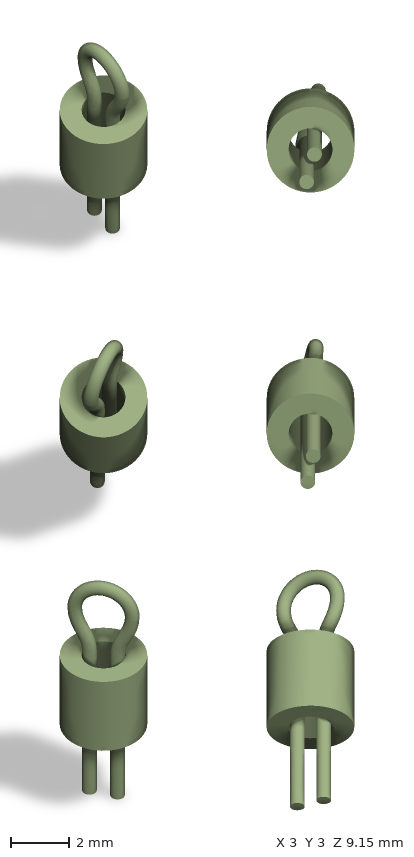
import cadquery as cq

overall_height = 9.15
sleeve_diameter = 3.0
sleeve_height = 3.0
bore_diameter = 1.5
wire_diameter = 0.5
lead_length = 3.0
lead_rise = 0.055
loop_outer_radius = 1.27

wire_radius = wire_diameter / 2
lead_offset = bore_diameter / 2 - wire_radius
bend_start = lead_length + sleeve_height + lead_rise
loop_radius = loop_outer_radius - wire_radius
loop_center = overall_height - loop_outer_radius


def make_sleeve():
    """Plain cylinder with a through bore."""
    return (
        cq.Workplane("XY", origin=(0, 0, lead_length))
        .circle(sleeve_diameter / 2)
        .circle(bore_diameter / 2)
        .extrude(sleeve_height)
    )


def make_wire():
    """Round wire: two straight leads joined by a flared loop in the XZ plane."""
    centerline = (
        cq.Workplane("XZ")
        .moveTo(-lead_offset, 0)
        .lineTo(-lead_offset, bend_start)
        .spline([(-loop_radius, loop_center)], tangents=[(0, 1), (0, 1)], includeCurrent=True)
        .threePointArc((0, overall_height - wire_radius), (loop_radius, loop_center))
        .spline([(lead_offset, bend_start)], tangents=[(0, -1), (0, -1)], includeCurrent=True)
        .lineTo(lead_offset, 0)
    )
    return cq.Workplane("XY", origin=(-lead_offset, 0, 0)).circle(wire_radius).sweep(centerline)


sleeve = make_sleeve()
wire = make_wire()

result = cq.Compound.makeCompound([sleeve.val(), wire.val()])